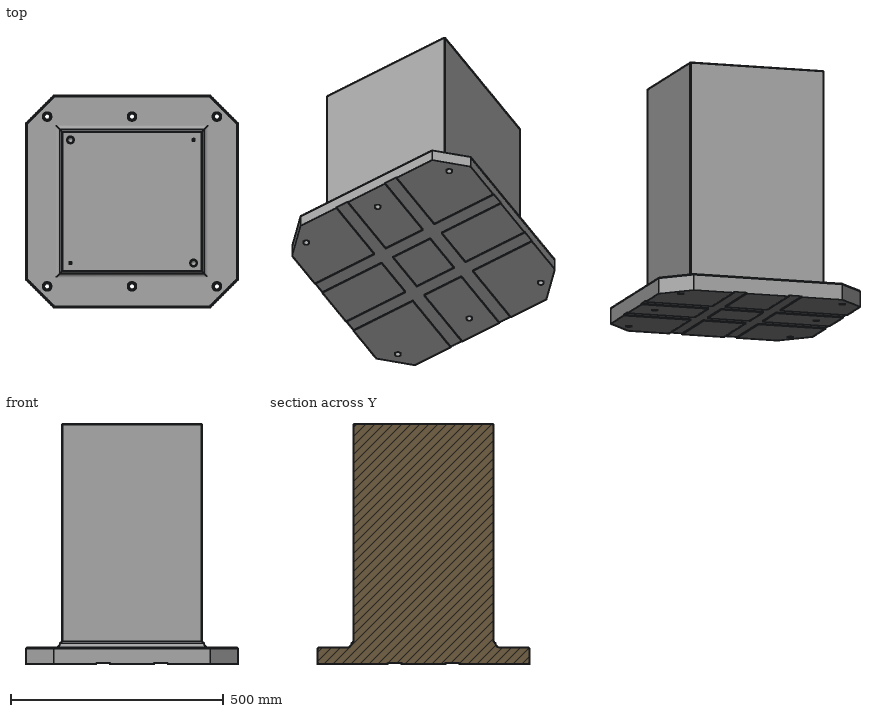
import cadquery as cq
import math

plate_side = 500.0
plate_thickness = 39.5
plate_corner_cut = 66.0
plate_edge_chamfer = 3.0

groove_width = 32.0
groove_offset = 68.0
groove_depth = 2.0

total_height = 567.0
column_side = 331.0
column_edge_chamfer = 2.0

foot_chamfer = 4.5
foot_fillet = 9.5
foot_side = column_side + 2 * foot_chamfer

mount_offset = 200.0
mount_diameter = 13.5
mount_bore_diameter = 17.5
mount_bore_depth = 3.5
mount_mouth_chamfer = 1.5

top_hole_offset = 145.0
tapped_diameter = 13.5
tapped_depth = 30.0
tapped_mouth_chamfer = 1.5
pin_diameter = 5.5
pin_depth = 20.0
pin_mouth_chamfer = 0.5
drill_point_angle = 118


def square_block(side, height, base_z):
    """Upright block with a square section, centred on the Z axis."""
    return cq.Workplane("XY").workplane(offset=base_z).rect(side, side).extrude(height)


def make_plate():
    plate = square_block(plate_side, plate_thickness, 0)
    plate = plate.edges("|Z").chamfer(plate_corner_cut)
    return plate.faces(">Z").edges().chamfer(plate_edge_chamfer)


def make_column():
    column = square_block(column_side, total_height - plate_thickness, plate_thickness)
    return column.edges("|Z or >Z").chamfer(column_edge_chamfer)


def make_foot():
    """Mitred moulding: a concave quarter round below a small chamfer."""
    wide_side = foot_side + 2 * foot_fillet
    foot_height = foot_fillet + foot_chamfer
    foot = square_block(wide_side, foot_height, plate_thickness)
    half = foot_side / 2
    arc_top = plate_thickness + foot_fillet
    foot_top = plate_thickness + foot_height
    waste = (
        cq.Workplane("XZ")
        .moveTo(wide_side / 2, plate_thickness)
        .radiusArc((half, arc_top), foot_fillet)
        .lineTo(half - foot_chamfer, foot_top)
        .lineTo(wide_side / 2, foot_top)
        .close()
        .extrude(wide_side / 2, both=True)
    )
    for quarter in range(4):
        foot = foot.cut(waste.rotate((0, 0, 0), (0, 0, 1), 90 * quarter))
    return foot


def cut_grooves(body):
    """Two shallow grooves in each direction, running right across the underside."""
    for offset in (-groove_offset, groove_offset):
        groove = cq.Workplane("XY").center(offset, 0).rect(groove_width, plate_side).extrude(groove_depth)
        body = body.cut(groove)
        body = body.cut(groove.rotate((0, 0, 0), (0, 0, 1), 90))
    return body


def turned_hole(profile, x, y, mouth_z):
    """Hole cutter turned from (radius, depth) points, with its mouth at mouth_z."""
    outline = [(radius, -depth) for radius, depth in profile]
    cutter = cq.Workplane("XZ").polyline(outline).close().revolve(360, (0, 0), (0, 1))
    return cutter.translate((x, y, mouth_z))


def cut_mount_holes(body):
    """Stepped through holes, three along each of two opposite plate edges."""
    hole_radius = mount_diameter / 2
    bore_radius = mount_bore_diameter / 2
    profile = [
        (0, 0),
        (bore_radius + mount_mouth_chamfer, 0),
        (bore_radius, mount_mouth_chamfer),
        (bore_radius, mount_bore_depth),
        (hole_radius, mount_bore_depth),
        (hole_radius, plate_thickness),
        (0, plate_thickness),
    ]
    for x in (-mount_offset, 0, mount_offset):
        for y in (-mount_offset, mount_offset):
            body = body.cut(turned_hole(profile, x, y, plate_thickness))
    return body


def drilled_profile(diameter, depth, mouth_chamfer):
    """Profile of a blind hole with a chamfered mouth and a drill point."""
    radius = diameter / 2
    point_depth = radius / math.tan(math.radians(drill_point_angle / 2))
    return [
        (0, 0),
        (radius + mouth_chamfer, 0),
        (radius, mouth_chamfer),
        (radius, depth),
        (0, depth + point_depth),
    ]


def cut_top_holes(body):
    """Tapped holes in one diagonal pair of corners, pin holes in the other pair."""
    tapped_profile = drilled_profile(tapped_diameter, tapped_depth, tapped_mouth_chamfer)
    pin_profile = drilled_profile(pin_diameter, pin_depth, pin_mouth_chamfer)
    for x in (-top_hole_offset, top_hole_offset):
        body = body.cut(turned_hole(tapped_profile, x, -x, total_height))
        body = body.cut(turned_hole(pin_profile, x, x, total_height))
    return body


result = make_plate().union(make_foot()).union(make_column())
result = cut_grooves(result)
result = cut_mount_holes(result)
result = cut_top_holes(result)